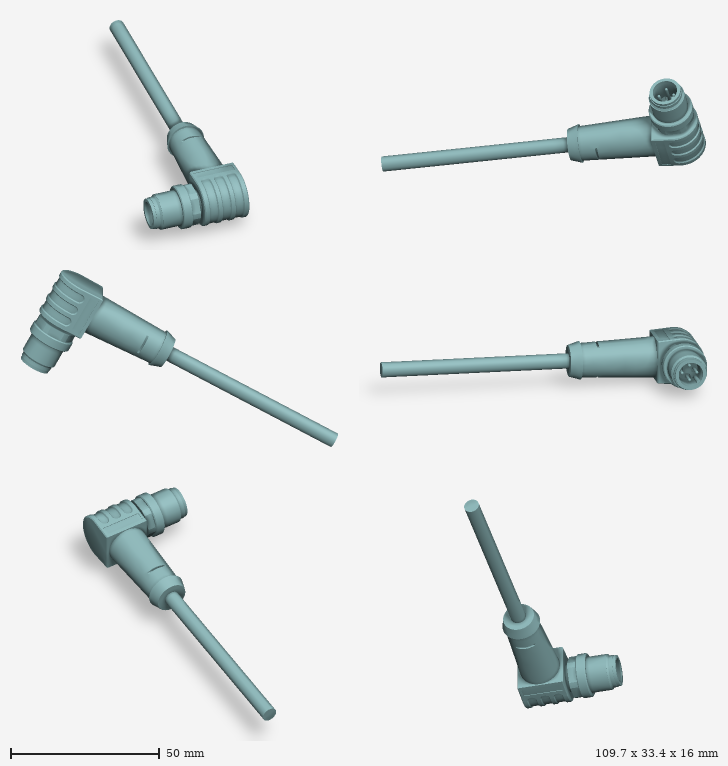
import cadquery as cq
import math

overall_length = 109.7
housing_radius = 8.0
cable_start = housing_radius - overall_length

cable_diameter = 5.2
boot_start = -37.4
collar_end = -33.6
collar_face_diameter = 10.7
collar_diameter = 13.2
boot_small_diameter = 11.7
boot_large_diameter = 13.9
boot_slot_x = -27.7
boot_slot_width = 0.8
boot_slot_floor = 5.0

housing_width = 15.9
housing_back = -8.1
side_slope = 4.7
housing_chamfer = 0.3

grip_count = 3
grip_pitch = 4.6
grip_depth = 0.4
grip_floor_width = 2.6
grip_wall_run = 0.3
grip_reach = 1.9

label_x = -4.7
label_length = 3.1
label_width = 13.8
label_depth = 0.2

plug_length = 17.5
neck_diameter = 9.3
neck_length = 1.2
nut_diameter = 14.0
nut_across_flats = 13.0
nut_length = 2.9
nut_flats = 6
ring_diameter = 15.0
ring_length = 3.4
ring_chamfer = 0.3
sleeve_diameter = 12.3
sleeve_length = 7.0
shoulder_diameter = 12.0
shoulder_length = 0.7
tip_diameter = 11
tip_length = 1.3
nose_diameter = 10.5

bore_diameter = 8.3
bore_floor_diameter = 7.7
bore_depth = 8.8
core_diameter = 7.0
core_height = 1.1
well_diameter = 2.4
pin_count = 4
pin_circle_radius = 2.5
pin_diameter = 1.0
pin_length = 6.6
pin_tip_fillet = 0.4
key_diameter = 1.5
key_axis_radius = 4.1
key_angle = -45
key_setback = 0.4

housing_face_y = -housing_width / 2
floor_distance = plug_length - bore_depth


def plug_plane(distance):
    """A sketch plane across the plug axis, at a distance out from the housing face."""
    return cq.Workplane("XZ", origin=(0, housing_face_y - distance, 0))


def plug_disc(distance, length, diameter):
    return plug_plane(distance).circle(diameter / 2).extrude(length)


def plug_cone(distance, length, start_diameter, end_diameter):
    return (
        plug_plane(distance)
        .circle(start_diameter / 2)
        .workplane(offset=length)
        .circle(end_diameter / 2)
        .loft()
    )


def turn_about_plug(solid, angle):
    return solid.rotate((0, 0, 0), (0, 1, 0), angle)


def make_housing():
    slope = math.radians(side_slope)
    tangent_x = -housing_radius * math.sin(slope)
    tangent_z = housing_radius * math.cos(slope)
    back_z = tangent_z - (tangent_x - housing_back) * math.tan(slope)
    body = (
        cq.Workplane("XZ", origin=(0, housing_width / 2, 0))
        .moveTo(housing_back, -back_z)
        .lineTo(tangent_x, -tangent_z)
        .threePointArc((housing_radius, 0), (tangent_x, tangent_z))
        .lineTo(housing_back, back_z)
        .close()
        .extrude(housing_width)
    )
    return body.faces("<Y or >Y").chamfer(housing_chamfer)


def both_slopes(cutter):
    """Tilts a cutter made at the top onto the upper sloped side and mirrors it to the lower one."""
    upper = turn_about_plug(cutter, -side_slope)
    return upper.union(upper.mirror("XY"))


def make_grip(y):
    """A shallow U-shaped recess with slanted walls, centred at y along the housing."""
    floor_radius = housing_radius - grip_depth
    clear_radius = housing_radius + grip_depth
    half_floor = grip_floor_width / 2
    half_mouth = half_floor + grip_wall_run
    section = [
        (floor_radius, y - half_floor),
        (housing_radius, y - half_mouth),
        (clear_radius, y - half_mouth),
        (clear_radius, y + half_mouth),
        (housing_radius, y + half_mouth),
        (floor_radius, y + half_floor),
    ]
    bend = cq.Workplane("XY").polyline(section).close().revolve(
        180 + 2 * side_slope, (0, 0, 0), (0, 1, 0)
    )
    bend = turn_about_plug(bend, -90 - side_slope)
    wall_angle = math.degrees(math.atan(grip_wall_run / grip_depth))
    end = (
        cq.Workplane("XY", origin=(0, y, housing_radius))
        .slot2D(2 * grip_reach, 2 * half_mouth)
        .extrude(-grip_depth, taper=wall_angle)
    )
    return bend.union(both_slopes(end))


def make_labels():
    label = (
        cq.Workplane("XY", origin=(label_x, 0, housing_radius))
        .rect(label_length, label_width)
        .extrude(-label_depth)
    )
    return both_slopes(label)


def make_cable():
    return (
        cq.Workplane("YZ", origin=(cable_start, 0, 0))
        .circle(cable_diameter / 2)
        .extrude(boot_start - cable_start)
    )


def make_boot():
    profile = [
        (boot_start, 0),
        (boot_start, collar_face_diameter / 2),
        (collar_end, collar_diameter / 2),
        (collar_end, boot_small_diameter / 2),
        (housing_back, boot_large_diameter / 2),
        (housing_back, 0),
    ]
    boot = cq.Workplane("XY").polyline(profile).close().revolve(360, (0, 0, 0), (1, 0, 0))
    slot = (
        cq.Workplane("XY", origin=(boot_slot_x, 0, boot_slot_floor))
        .rect(boot_slot_width, boot_large_diameter)
        .extrude(boot_large_diameter / 2)
    )
    return boot.cut(slot).cut(slot.mirror("XY"))


def make_nut():
    """A round nut with flats, one of them facing up."""
    hexagon = (
        plug_plane(neck_length)
        .polygon(nut_flats, nut_across_flats, circumscribed=True)
        .extrude(nut_length)
    )
    hexagon = turn_about_plug(hexagon, 180 / nut_flats)
    return plug_disc(neck_length, nut_length, nut_diameter).intersect(hexagon)


def make_shell():
    ring_start = neck_length + nut_length
    sleeve_start = ring_start + ring_length
    shoulder_start = sleeve_start + sleeve_length
    tip_start = shoulder_start + shoulder_length
    nose_start = tip_start + tip_length
    ring = plug_disc(ring_start, ring_length, ring_diameter).edges().chamfer(ring_chamfer)
    return (
        plug_disc(0, neck_length, neck_diameter)
        .union(make_nut())
        .union(ring)
        .union(plug_disc(sleeve_start, sleeve_length, sleeve_diameter))
        .union(plug_cone(shoulder_start, shoulder_length, shoulder_diameter, tip_diameter))
        .union(plug_disc(tip_start, tip_length, tip_diameter))
        .union(plug_disc(nose_start, plug_length - nose_start, nose_diameter))
    )


def make_contacts():
    """The insert core on the bore floor, with a well around each contact pin."""
    pin_angles = [360 * i / pin_count for i in range(pin_count)]
    well = (
        plug_plane(floor_distance)
        .center(pin_circle_radius + well_diameter / 2, 0)
        .slot2D(2 * well_diameter, well_diameter)
        .extrude(core_height)
    )
    pin = (
        plug_disc(floor_distance, pin_length, pin_diameter)
        .faces("<Y")
        .edges()
        .fillet(pin_tip_fillet)
        .translate((pin_circle_radius, 0, 0))
    )
    core = plug_disc(floor_distance, core_height, core_diameter)
    for angle in pin_angles:
        core = core.cut(turn_about_plug(well, angle))
    for angle in pin_angles:
        core = core.union(turn_about_plug(pin, angle))
    return core


def make_key():
    """A round rib along the bore wall that keys the mating connector."""
    angle = math.radians(key_angle)
    x = key_axis_radius * math.cos(angle)
    z = key_axis_radius * math.sin(angle)
    return plug_disc(floor_distance, bore_depth - key_setback, key_diameter).translate((x, 0, z))


def make_plug():
    bore = plug_cone(floor_distance, bore_depth, bore_floor_diameter, bore_diameter)
    return make_shell().cut(bore).union(make_key()).union(make_contacts())


housing = make_housing().cut(make_labels())
for i in range(grip_count):
    housing = housing.cut(make_grip((i - (grip_count - 1) / 2) * grip_pitch))

result = housing.union(make_boot()).union(make_cable()).union(make_plug())